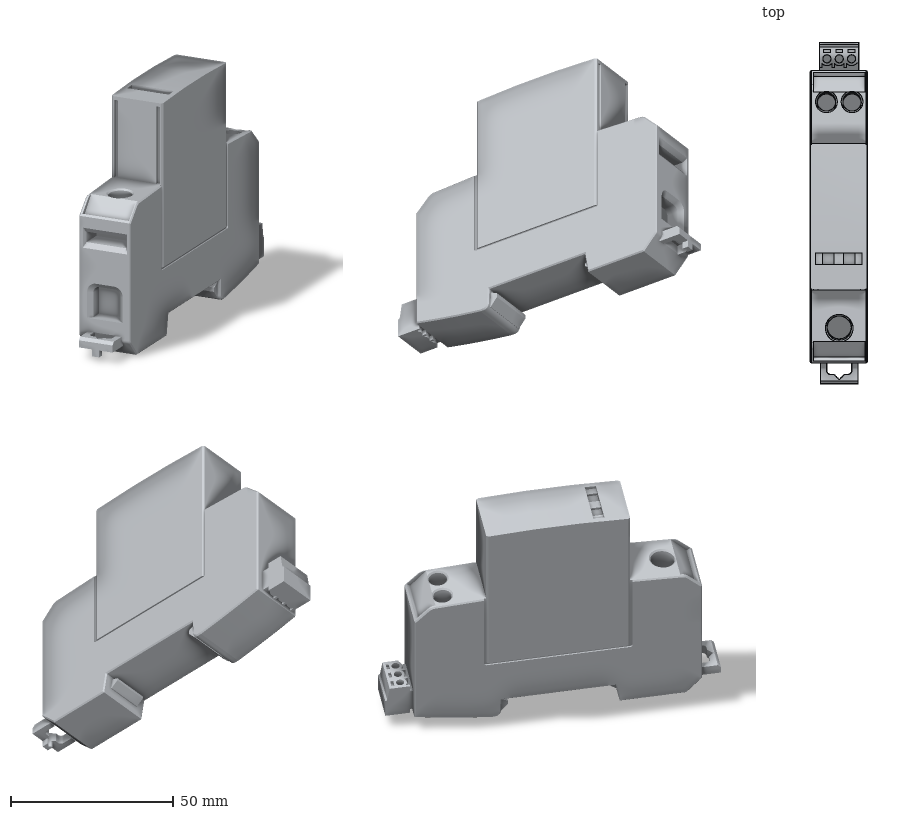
import cadquery as cq
import math


width = 17.7
half_width = width / 2
half_length = 45.15
feature_x = 0.15
edge_chamfer = 0.4
shoulder_y = 39.95
shoulder_z = 49.3
shoulder_base_z = 44.2
shoulder_radius = 3.0
deck_z = 50.1
rail_front_y = 18.1
rail_rear_y = 17.8
rail_z = 6.9
front_foot_y = 19.3
front_foot_outer_y = 40.2
front_foot_corner_z = 5.3
foot_corner_radius = 1.5
rear_foot_y = 21.2
rear_foot_outer_z = 4.05
rear_foot_tip_y = 18.1
rear_foot_sag_point = (33.0, 1.75)
rear_foot_radius = 2.0
shoulder_recess_width = 16.0
shoulder_recess_top = (38.4, 49.4)
shoulder_recess_bottom = (43.35, 44.0)
shoulder_recess_lip = (44.55, 44.8)

module_half_length = 22.6
module_bottom_z = 23.1
module_edge_z = 76.45
module_top_z = 77.13
module_chamfer_y = 0.7
module_chamfer_x = 0.5
seam_width = 0.7
seam_depth = module_chamfer_x
panel_groove_width = 1.35
panel_groove_depth = 1.2
panel_groove_outer_x = 7.9
panel_groove_top_z = 75.3

deck_slope = (deck_z - shoulder_z) / (shoulder_y - module_half_length)

indicator_width = 14.4
indicator_length = 3.5
indicator_y = -13.0
indicator_floor_z = 75.9
pit_width = 3.5
pit_pitch = 6.4
pit_floor_z = 75.1

rear_screw_spacing = 7.9
rear_screw_y = 35.5
rear_screw_radius = 2.85
front_screw_y = -34.4
front_screw_radius = 3.75
screw_depth = 10.0
screw_chamfer = 0.5

window_width = 15.2
window_bottom_z = 34.0
window_height = 6.5
window_inset_x = 0.7
window_inset_z = 1.55
window_taper_depth = 1.2
window_depth = 8.0
arch_width = 12.2
arch_bottom_z = 11.4
arch_height = 11.5
arch_radius = 3.0
arch_inner_radius = 2.0
arch_inset = 1.45
arch_taper_depth = 1.5
arch_depth = 5.3

plug_width = 12.2
plug_pitch = 3.81
pole_count = 3
plug_end_y = 53.8
plug_bottom_z = 3.75
plug_top_z = 14.9
plug_top_end_y = 52.45
plug_knee = (53.2, 10.3)
plug_knee_end_z = 9.8
plug_back_y = 47.4
plug_tab_y = 46.05
plug_tab_width = 0.8
wire_hole_y = 48.75
wire_hole_radius = 1.25
wire_hole_depth = 6.0
pole_collar_radius = 2.1
release_slot_size = (2.1, 0.95)
release_slot_y = 51.2
release_slot_depth = 1.0
neck_bottom_z = 5.35
neck_top_z = 13.0

clip_width = 11.6
clip_end_y = 51.6
clip_bottom_z = 3.75
clip_top_z = 7.0
clip_chamfer = 0.95
clip_opening_width = 7.7
clip_opening_y = 48.65
clip_pocket_depth = 1.0
clip_opening_radius = 1.2
clip_notch_width = 3.2
clip_notch_y = 50.3
clip_nub_width = 2.4
clip_nub_length = 2.0
clip_nub_bottom_z = 1.5

rear_hook_outline = [(19.5, 6.3), (17.8, 6.1), (15.6, 5.1), (15.6, 3.7), (18.0, 0.9), (19.5, 2.0)]
rear_hook_width = 15.4
front_hook_outline = [(-19.5, 5.8), (-18.0, 6.2), (-16.1, 5.6), (-16.1, 4.7), (-18.5, 2.9), (-19.5, 2.9)]

selection_margin = 0.1
overlap = 1.0


def side_profile(points, profile_width):
    """Solid from a closed (y, z) outline, centred on X = 0."""
    return cq.Workplane("YZ").polyline(points).close().extrude(profile_width / 2, both=True)


def box_between(x_range, y_range, z_range):
    corner = (x_range[0], y_range[0], z_range[0])
    size = (x_range[1] - x_range[0], y_range[1] - y_range[0], z_range[1] - z_range[0])
    return cq.Workplane("XY").box(*size, centered=False).translate(corner)


def centred_box(box_width, y_range, z_range):
    return box_between((-box_width / 2, box_width / 2), y_range, z_range)


def edge_at(y, z):
    """Selector for the edge along X that passes through (y, z)."""
    low = (-width, y - selection_margin, z - selection_margin)
    high = (width, y + selection_margin, z + selection_margin)
    return cq.selectors.BoxSelector(low, high)


def make_housing():
    """Housing slab with rail cutout, sloped shoulders and chamfered outline."""
    front_outline = [
        (-rail_front_y, rail_z),
        (-front_foot_y, 0),
        (-front_foot_outer_y, 0),
        (-half_length, front_foot_corner_z),
        (-half_length, shoulder_base_z),
        (-shoulder_y, shoulder_z),
        (-module_half_length, deck_z),
    ]
    rear_outline = [
        (module_half_length, deck_z),
        (shoulder_y, shoulder_z),
        (half_length, shoulder_base_z),
        (half_length, rear_foot_outer_z),
    ]
    housing = (
        cq.Workplane("YZ")
        .polyline(front_outline + rear_outline)
        .threePointArc(rear_foot_sag_point, (rear_foot_y, 0))
        .lineTo(rear_foot_tip_y, 0)
        .lineTo(rail_rear_y, rail_z)
        .close()
        .extrude(half_width, both=True)
    )

    for end in (-1, 1):
        housing = housing.edges(edge_at(end * shoulder_y, shoulder_z)).fillet(shoulder_radius)
    housing = housing.edges(edge_at(-half_length, front_foot_corner_z)).fillet(foot_corner_radius)
    housing = housing.edges(edge_at(rear_foot_tip_y, 0)).fillet(rear_foot_radius)
    return housing.faces("<X or >X").chamfer(edge_chamfer)


def shoulder_recess(end):
    """Flat recess in the sloped shoulder at one end (-1 front, +1 rear)."""
    (top_y, top_z), (lip_y, lip_z) = shoulder_recess_top, shoulder_recess_lip
    points = [
        shoulder_recess_top,
        shoulder_recess_bottom,
        shoulder_recess_lip,
        (lip_y + overlap, lip_z),
        (lip_y + overlap, top_z + overlap),
        (top_y, top_z + overlap),
    ]
    return side_profile([(end * y, z) for y, z in points], shoulder_recess_width)


def make_module():
    """Module block with an arched top and chamfered upright side edges."""
    module = (
        cq.Workplane("YZ")
        .moveTo(-module_half_length, module_bottom_z)
        .lineTo(module_half_length, module_bottom_z)
        .lineTo(module_half_length, module_edge_z)
        .threePointArc((0, module_top_z), (-module_half_length, module_edge_z))
        .close()
        .extrude(half_width, both=True)
    )
    for side in (-1, 1):
        for end in (-1, 1):
            chamfer = (
                cq.Workplane("XY", origin=(0, 0, module_bottom_z))
                .moveTo(side * half_width, end * module_half_length)
                .lineTo(side * (half_width - module_chamfer_x), end * module_half_length)
                .lineTo(side * half_width, end * (module_half_length - module_chamfer_y))
                .close()
                .extrude(module_top_z - module_bottom_z)
            )
            module = module.cut(chamfer)
    return module


def seam_recess(side):
    """Shallow recess in one side face of the housing, leaving a seam around the module."""
    outer_y = module_half_length + seam_width
    x_range = sorted((side * half_width, side * (half_width - seam_depth)))
    recess = box_between(x_range, (-outer_y, outer_y), (module_bottom_z - seam_width, deck_z))
    return recess.edges("|X and <Z").fillet(seam_width)


def panel_groove(side):
    """Upright groove beside the front panel of the module."""
    x_range = sorted((side * panel_groove_outer_x, side * (panel_groove_outer_x - panel_groove_width)))
    y_range = (-module_half_length - overlap, -module_half_length + panel_groove_depth)
    return box_between(x_range, y_range, (deck_z, panel_groove_top_z))


def indicator_window():
    """Cutter for the shallow indicator window with two deeper pits in its floor."""
    y_range = (indicator_y - indicator_length / 2, indicator_y + indicator_length / 2)
    cutter = centred_box(indicator_width, y_range, (indicator_floor_z, module_top_z + overlap))
    for side in (-1, 1):
        pit_x = side * pit_pitch / 2
        x_range = (pit_x - pit_width / 2, pit_x + pit_width / 2)
        cutter = cutter.union(box_between(x_range, y_range, (pit_floor_z, module_top_z)))
    return cutter


def screw_hole(x, y, radius):
    """Blind hole square to the sloped deck, with a chamfered rim."""
    top_z = deck_z - deck_slope * (abs(y) - module_half_length)
    tilt = math.copysign(math.degrees(math.atan(deck_slope)), -y)
    profile = [
        (0, overlap),
        (radius + screw_chamfer, overlap),
        (radius + screw_chamfer, 0),
        (radius, -screw_chamfer),
        (radius, -screw_depth),
        (0, -screw_depth),
    ]
    hole = cq.Workplane("XZ").polyline(profile).close().revolve(360, (0, 0, 0), (0, 1, 0))
    return hole.rotate((0, 0, 0), (1, 0, 0), tilt).translate((x, y, top_z))


def front_plane(depth):
    """Sketch plane parallel to the front face, depth behind it; extrusions run inwards."""
    origin = (0, -half_length + depth, 0)
    return cq.Workplane(cq.Plane(origin=origin, xDir=(-1, 0, 0), normal=(0, 1, 0)))


def front_window():
    """Wide window in the front face with a tapered mouth."""
    inner_width = window_width - 2 * window_inset_x
    inner_height = window_height - 2 * window_inset_z
    middle_z = window_bottom_z + window_height / 2
    mouth = (
        front_plane(0)
        .center(0, middle_z)
        .rect(window_width, window_height)
        .workplane(offset=window_taper_depth)
        .rect(inner_width, inner_height)
        .loft(ruled=True)
    )
    inner = (
        front_plane(window_taper_depth)
        .center(0, middle_z)
        .rect(inner_width, inner_height)
        .extrude(window_depth - window_taper_depth)
    )
    return mouth.union(inner)


def draw_arch(plane, inset, radius):
    """Flat-bottomed arch outline with rounded top corners, shrunk by inset at sides and top."""
    half = arch_width / 2 - inset
    top_z = arch_bottom_z + arch_height - inset
    corner = radius * math.sqrt(0.5)
    centre_z = top_z - radius
    centre_x = half - radius
    return (
        plane.moveTo(-half, arch_bottom_z)
        .lineTo(-half, centre_z)
        .threePointArc((-centre_x - corner, centre_z + corner), (-centre_x, top_z))
        .lineTo(centre_x, top_z)
        .threePointArc((centre_x + corner, centre_z + corner), (half, centre_z))
        .lineTo(half, arch_bottom_z)
        .close()
    )


def front_arch():
    """Arched pocket in the front face with a tapered mouth and a flat floor."""
    mouth = draw_arch(front_plane(0), 0, arch_radius)
    mouth = draw_arch(mouth.workplane(offset=arch_taper_depth), arch_inset, arch_inner_radius)
    inner = draw_arch(front_plane(arch_taper_depth), arch_inset, arch_inner_radius)
    inner = inner.extrude(arch_depth - arch_taper_depth)
    return mouth.loft(ruled=True).union(inner)


def terminal_plug():
    """Three-pole plug on the rear face, held by a neck."""
    body = side_profile(
        [
            (plug_back_y, plug_bottom_z),
            (plug_end_y, plug_bottom_z),
            (plug_end_y, plug_knee_end_z),
            plug_knee,
            (plug_top_end_y, plug_top_z),
            (plug_back_y, plug_top_z),
        ],
        plug_width,
    )
    neck_y = (half_length - overlap, plug_back_y + overlap)
    body = body.union(centred_box(plug_width, neck_y, (neck_bottom_z, neck_top_z)))
    height = plug_top_z - plug_bottom_z
    pole_x = [(pole - (pole_count - 1) / 2) * plug_pitch for pole in range(pole_count)]
    for x in pole_x:
        collar = cq.Workplane("XY", origin=(x, wire_hole_y, plug_bottom_z)).circle(pole_collar_radius)
        body = body.union(collar.extrude(height))
        tab_x = x - plug_pitch / 2
        tab_range = (max(tab_x - plug_tab_width / 2, -plug_width / 2), tab_x + plug_tab_width / 2)
        tab_y = (plug_tab_y, plug_back_y + overlap)
        body = body.union(box_between(tab_range, tab_y, (plug_bottom_z, plug_top_z)))
    top = cq.Workplane("XY", origin=(0, 0, plug_top_z))
    holes = top.pushPoints([(x, wire_hole_y) for x in pole_x]).circle(wire_hole_radius)
    body = body.cut(holes.extrude(-wire_hole_depth))
    slots = top.pushPoints([(x, release_slot_y) for x in pole_x]).rect(*release_slot_size)
    return body.cut(slots.extrude(-release_slot_depth))


def release_clip():
    """Clip tongue on the front face with a nub below its outer edge."""
    inner_y = -half_length + overlap
    clip = centred_box(clip_width, (-clip_end_y, inner_y), (clip_bottom_z, clip_top_z))
    clip = clip.edges("<Y and >Z").chamfer(clip_chamfer)
    nub_y = (-clip_end_y, -clip_end_y + clip_nub_length)
    nub = centred_box(clip_nub_width, nub_y, (clip_nub_bottom_z, clip_bottom_z + overlap))
    return clip.union(nub)


def clip_opening():
    """Notched opening through the clip, reaching a little way into the housing."""
    y_range = (-clip_opening_y, -half_length + clip_pocket_depth)
    opening = centred_box(clip_opening_width, y_range, (0, clip_top_z))
    opening = opening.edges("|Z and <Y").fillet(clip_opening_radius)
    notch = (
        cq.Workplane("XY")
        .moveTo(-clip_notch_width / 2, -clip_opening_y)
        .lineTo(0, -clip_notch_y)
        .lineTo(clip_notch_width / 2, -clip_opening_y)
        .close()
        .extrude(clip_top_z)
    )
    return opening.union(notch)


def rail_hooks():
    """Hooks on the two feet that grip the rail from below."""
    rear_hook = side_profile(rear_hook_outline, rear_hook_width)
    return rear_hook.union(side_profile(front_hook_outline, clip_width))


def make_cutters():
    """Cutters for the openings that line up with the fittings, centred on X = 0."""
    cutters = [
        shoulder_recess(-1),
        shoulder_recess(1),
        screw_hole(0, front_screw_y, front_screw_radius),
        front_window(),
        front_arch(),
        clip_opening(),
    ]
    for side in (-1, 1):
        cutters.append(panel_groove(side))
        cutters.append(screw_hole(side * rear_screw_spacing / 2, rear_screw_y, rear_screw_radius))
    return cutters


result = make_housing()
for side in (-1, 1):
    result = result.cut(seam_recess(side))
result = result.union(make_module()).cut(indicator_window())
for fitting in (terminal_plug(), release_clip(), rail_hooks()):
    result = result.union(fitting.translate((feature_x, 0, 0)))
for cutter in make_cutters():
    result = result.cut(cutter.translate((feature_x, 0, 0)))